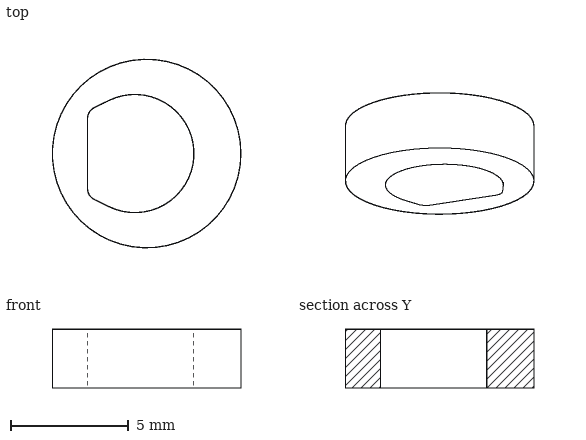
import cadquery as cq
import math

ring_diameter = 8.0
ring_height = 2.5
bore_radius = 2.5
bore_offset = 0.5
flat_distance = 2.0
flank_angle = 26.0
corner_radius = 0.5


def make_ring():
    return cq.Workplane("XY").circle(ring_diameter / 2).extrude(ring_height)


def make_bore():
    """Round bore whose -X side runs out along two tangent flanks to a flat."""
    angle = math.radians(flank_angle)
    center_x = -bore_offset
    flat_x = center_x - flat_distance

    tangent_x = center_x - bore_radius * math.sin(angle)
    tangent_y = bore_radius * math.cos(angle)
    corner_y = (bore_radius - flat_distance * math.sin(angle)) / math.cos(angle)

    profile = (
        cq.Workplane("XY")
        .moveTo(flat_x, -corner_y)
        .lineTo(tangent_x, -tangent_y)
        .threePointArc((center_x + bore_radius, 0), (tangent_x, tangent_y))
        .lineTo(flat_x, corner_y)
        .close()
    )
    bore = profile.extrude(ring_height)
    return bore.edges("|Z and <X").fillet(corner_radius)


result = make_ring().cut(make_bore())